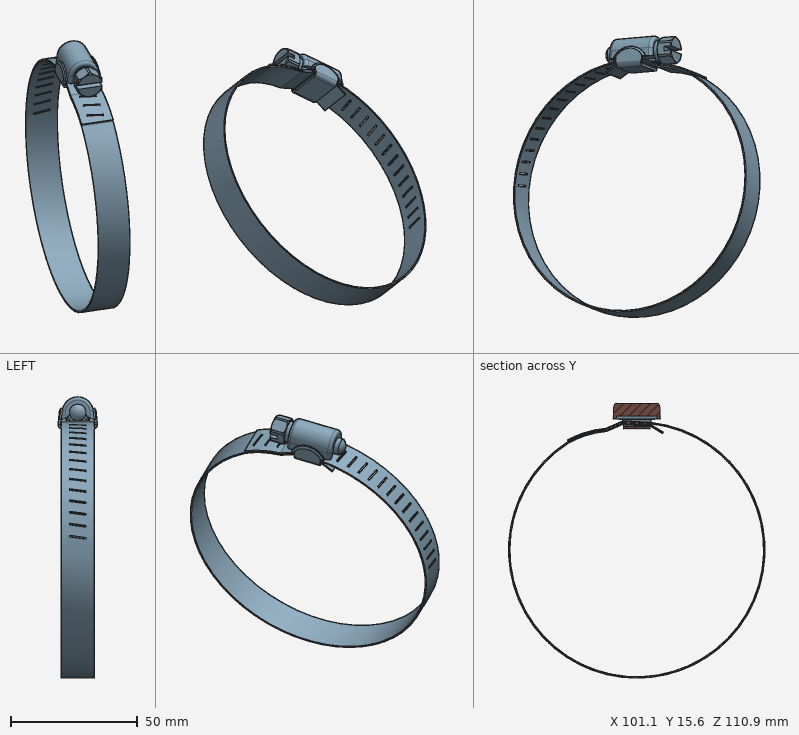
import cadquery as cq
import math

HOOP_RADIUS = 50.535
OVERALL_HEIGHT = 110.87
OVERALL_WIDTH = 15.63

BAND_WIDTH = 13.0
BAND_THICKNESS = 0.6
LAYER_PITCH = 0.66
BAND_RADIUS = HOOP_RADIUS - BAND_THICKNESS / 2
TAIL_TIP = (-10.3, 46.1)
TAIL_BEND = (-5.3, 49.2)
SADDLE_EXIT = (5.3, 49.85)
SLOPE_FOOT = (11.9, 46.95)
OVERLAP_MIDDLE = (19.5, 45.5)
OVERLAP_END_X = 27.2
CROWN_START_X = -5.5

HOOP_SLOT_COUNT = 14
HOOP_SLOT_PITCH_ANGLE = 5.48
FIRST_SLOT_ANGLE = 84.3
END_SLOT_COUNT = 3
END_SLOT_PITCH = 5.3
END_SLOT_MARGIN = 3.3
SLOT_LENGTH = 6.6
SLOT_WIDTH = 0.6
SLOT_TILT = 8.0

HOUSING_LENGTH = 18.6
HOUSING_RADIUS = 6.15
HOUSING_WALL = 1.35
HOUSING_EDGE_RADIUS = 1.33
HOUSING_TOP = OVERALL_HEIGHT - HOOP_RADIUS
HOUSING_CENTRE_Z = HOUSING_TOP - HOUSING_RADIUS
SIDE_LEAN = 0.1
HOUSING_BOTTOM = 51.5
AXIS_Z = 54.1
NOTCH_HALF_TOP = 3.0
NOTCH_DROP = 0.8

SADDLE_HALF_WIDTH = OVERALL_WIDTH / 2
SADDLE_LENGTH = 11.1
SADDLE_BOTTOM = 47.65
SADDLE_THICKNESS = 1.1
SADDLE_BEND_Z = 49.35
SADDLE_END_TRIM = 0.25
EAR_HALF_LENGTH = 6.95
EAR_TOP = 55.9
EAR_THICKNESS = 1.6
EAR_BEVEL_WIDTH = 0.95
EAR_BEVEL_DEPTH = 0.5

SHANK_RADIUS = 2.5
BUTTON_RADIUS = 3.3
BUTTON_LENGTH = 1.95
DOME_HEIGHT = 1.75
COLLAR_RADIUS = 4.3
COLLAR_LENGTH = 1.8
HEAD_LENGTH = 6.05
HEAD_ACROSS_FLATS = 9.85
HEAD_RADIUS = 5.45
HEAD_CHAMFER = 0.5
DRIVER_SLOT_WIDTH = 1.7
DRIVER_SLOT_DEPTH = 3.1


def point(xz):
    return cq.Vector(xz[0], 0, xz[1])


def on_circle(radius, x):
    return (x, math.sqrt(radius**2 - x**2))


def raised(xz, lift):
    return (xz[0], xz[1] + lift)


def line(start, end):
    return cq.Edge.makeLine(point(start), point(end))


def arc(start, middle, end):
    return cq.Edge.makeThreePointArc(point(start), point(middle), point(end))


slope_angle = math.atan2(SADDLE_EXIT[1] - SLOPE_FOOT[1], SLOPE_FOOT[0] - SADDLE_EXIT[0])
layer_lift = LAYER_PITCH / math.cos(slope_angle)

loop_start = on_circle(BAND_RADIUS, OVERLAP_END_X)
crown_start = on_circle(BAND_RADIUS, CROWN_START_X)
outer_exit = raised(SADDLE_EXIT, layer_lift)
outer_foot = raised(SLOPE_FOOT, layer_lift)
outer_middle = raised(OVERLAP_MIDDLE, layer_lift)
outer_end = on_circle(BAND_RADIUS + LAYER_PITCH, OVERLAP_END_X)

inner_layer = [
    line(TAIL_TIP, TAIL_BEND),
    line(TAIL_BEND, SADDLE_EXIT),
    line(SADDLE_EXIT, SLOPE_FOOT),
    arc(SLOPE_FOOT, OVERLAP_MIDDLE, loop_start),
]
hoop = arc(loop_start, (0, -BAND_RADIUS), crown_start)
outer_layer = [
    line(crown_start, outer_exit),
    line(outer_exit, outer_foot),
    arc(outer_foot, outer_middle, outer_end),
]

path = cq.Wire.assembleEdges(inner_layer + [hoop] + outer_layer)
start_plane = cq.Plane(
    origin=point(TAIL_TIP).toTuple(), xDir=(0, 1, 0), normal=inner_layer[0].tangentAt(0).toTuple()
)
band = (
    cq.Workplane(start_plane)
    .rect(BAND_WIDTH, BAND_THICKNESS)
    .sweep(cq.Workplane(obj=path), transition="right")
)


def slot_cutter(centre, tangent):
    """Tilted block that pierces the outer layer but not the layer below it."""
    place = cq.Plane(
        origin=centre.toTuple(),
        xDir=tangent.toTuple(),
        normal=tangent.cross(cq.Vector(0, 1, 0)).toTuple(),
    )
    return (
        cq.Workplane(place)
        .transformed(rotate=(0, 0, -SLOT_TILT))
        .box(SLOT_WIDTH, SLOT_LENGTH, LAYER_PITCH)
    )


for index in range(HOOP_SLOT_COUNT):
    angle = math.radians(FIRST_SLOT_ANGLE - index * HOOP_SLOT_PITCH_ANGLE)
    slot_centre = point((-BAND_RADIUS * math.sin(angle), BAND_RADIUS * math.cos(angle)))
    band = band.cut(slot_cutter(slot_centre, point((math.cos(angle), math.sin(angle)))))

outer_arc = outer_layer[-1]
for index in range(END_SLOT_COUNT):
    share = 1 - (END_SLOT_MARGIN + index * END_SLOT_PITCH) / outer_arc.Length()
    band = band.cut(slot_cutter(outer_arc.positionAt(share), outer_arc.tangentAt(share)))


def rod(x_start, length, radius):
    return cq.Workplane("YZ", origin=(x_start, 0, AXIS_Z)).circle(radius).extrude(length)


housing_end = HOUSING_LENGTH / 2
button_start = -housing_end - BUTTON_LENGTH
head_start = housing_end + COLLAR_LENGTH
head_end = head_start + HEAD_LENGTH


def make_head():
    hexagon = (
        cq.Workplane("YZ", origin=(head_start, 0, AXIS_Z))
        .polygon(6, HEAD_ACROSS_FLATS, circumscribed=True)
        .extrude(HEAD_LENGTH)
    )
    turned = rod(head_start, HEAD_LENGTH, HEAD_RADIUS).edges().chamfer(HEAD_CHAMFER)
    driver_slot = cq.Workplane(
        "XY", origin=(head_end - DRIVER_SLOT_DEPTH / 2, 0, AXIS_Z)
    ).box(DRIVER_SLOT_DEPTH, 2 * HEAD_RADIUS, DRIVER_SLOT_WIDTH)
    return hexagon.intersect(turned).cut(driver_slot)


def make_dome():
    sphere_radius = (BUTTON_RADIUS**2 + DOME_HEIGHT**2) / (2 * DOME_HEIGHT)
    return (
        cq.Workplane("XY")
        .sphere(sphere_radius)
        .translate((button_start - DOME_HEIGHT + sphere_radius, 0, AXIS_Z))
        .intersect(rod(button_start - DOME_HEIGHT, DOME_HEIGHT, BUTTON_RADIUS))
    )


screw = (
    rod(-housing_end, HOUSING_LENGTH, SHANK_RADIUS)
    .union(rod(button_start, BUTTON_LENGTH, BUTTON_RADIUS))
    .union(make_dome())
    .union(rod(housing_end, COLLAR_LENGTH, COLLAR_RADIUS))
    .union(make_head())
)


SIDE_ANGLE = math.atan(SIDE_LEAN)


def half_width_at_bottom(radius):
    """Half width of an arch where its leaning sides reach the housing's bottom plane."""
    spring_half_width = radius * math.cos(SIDE_ANGLE)
    spring_z = HOUSING_CENTRE_Z + radius * math.sin(SIDE_ANGLE)
    return spring_half_width + SIDE_LEAN * (spring_z - HOUSING_BOTTOM)


def arch(half_length, radius):
    """Round-topped block whose tangent sides spread down to the housing's bottom plane."""
    spring_half_width = radius * math.cos(SIDE_ANGLE)
    spring_z = HOUSING_CENTRE_Z + radius * math.sin(SIDE_ANGLE)
    foot = half_width_at_bottom(radius)
    return (
        cq.Workplane("YZ", origin=(-half_length, 0, 0))
        .moveTo(-foot, HOUSING_BOTTOM)
        .lineTo(-spring_half_width, spring_z)
        .threePointArc((0, HOUSING_CENTRE_Z + radius), (spring_half_width, spring_z))
        .lineTo(foot, HOUSING_BOTTOM)
        .close()
        .extrude(2 * half_length)
    )


def make_cover():
    inner_radius = HOUSING_RADIUS - HOUSING_WALL
    notch_foot = half_width_at_bottom(inner_radius)
    cavity = arch(housing_end - HOUSING_WALL, inner_radius)
    notch = (
        cq.Workplane("YZ", origin=(-housing_end, 0, 0))
        .polyline([
            (-notch_foot, HOUSING_BOTTOM),
            (-NOTCH_HALF_TOP, AXIS_Z - NOTCH_DROP),
            (NOTCH_HALF_TOP, AXIS_Z - NOTCH_DROP),
            (notch_foot, HOUSING_BOTTOM),
        ])
        .close()
        .extrude(HOUSING_LENGTH)
    )
    bore = rod(-housing_end, HOUSING_LENGTH, SHANK_RADIUS)
    outside = arch(housing_end, HOUSING_RADIUS)
    end_edges = outside.faces("<X or >X").edges("not <Z")
    return end_edges.fillet(HOUSING_EDGE_RADIUS).cut(cavity).cut(notch).cut(bore)


def make_ear():
    """Round-topped plate on the -Y side, leaning inward against the housing."""
    plane = cq.Plane(
        origin=(0, -SADDLE_HALF_WIDTH, SADDLE_BEND_Z),
        xDir=(1, 0, 0),
        normal=(0, -1, SIDE_LEAN),
    )
    foot = HOUSING_BOTTOM - SADDLE_BEND_Z
    plate = (
        cq.Workplane(plane)
        .moveTo(-EAR_HALF_LENGTH, foot)
        .threePointArc((0, EAR_TOP - SADDLE_BEND_Z), (EAR_HALF_LENGTH, foot))
        .close()
        .extrude(-EAR_THICKNESS)
    )
    return plate.faces("<Y").edges("%CIRCLE").chamfer(EAR_BEVEL_DEPTH, EAR_BEVEL_WIDTH)


def make_strap():
    """U-shaped strap that runs from ear to ear below the band."""
    leg_lean = SIDE_LEAN * (HOUSING_BOTTOM - SADDLE_BEND_Z)
    top_half_width = SADDLE_HALF_WIDTH - leg_lean
    inner_half_width = SADDLE_HALF_WIDTH - SADDLE_THICKNESS
    floor = SADDLE_BOTTOM + SADDLE_THICKNESS
    bend_drop = SADDLE_BEND_Z - SADDLE_BOTTOM
    flat_half_width = SADDLE_HALF_WIDTH - bend_drop
    outside = (
        cq.Workplane("YZ", origin=(-SADDLE_LENGTH / 2, 0, 0))
        .moveTo(-top_half_width, HOUSING_BOTTOM)
        .lineTo(-SADDLE_HALF_WIDTH, SADDLE_BEND_Z)
        .radiusArc((-flat_half_width, SADDLE_BOTTOM), -bend_drop)
        .lineTo(flat_half_width, SADDLE_BOTTOM)
        .radiusArc((SADDLE_HALF_WIDTH, SADDLE_BEND_Z), -bend_drop)
        .lineTo(top_half_width, HOUSING_BOTTOM)
        .close()
        .extrude(SADDLE_LENGTH)
    )
    opening = (
        cq.Workplane("YZ", origin=(-SADDLE_LENGTH / 2, 0, 0))
        .polyline([
            (-inner_half_width + leg_lean, HOUSING_BOTTOM),
            (-inner_half_width, SADDLE_BEND_Z),
            (-inner_half_width, floor),
            (inner_half_width, floor),
            (inner_half_width, SADDLE_BEND_Z),
            (inner_half_width - leg_lean, HOUSING_BOTTOM),
        ])
        .close()
        .extrude(SADDLE_LENGTH)
    )
    strap = outside.cut(opening)
    for side in (-1, 1):
        end_trim = cq.Workplane(
            "XY", origin=(side * (SADDLE_LENGTH - SADDLE_END_TRIM) / 2, 0, SADDLE_BEND_Z - bend_drop / 2)
        ).box(SADDLE_END_TRIM, OVERALL_WIDTH, bend_drop)
        strap = strap.cut(end_trim)
    return strap


ear = make_ear()
housing = make_cover().union(ear).union(ear.mirror("XZ")).union(make_strap())

result = cq.Compound.makeCompound([band.val(), screw.val(), housing.val()])